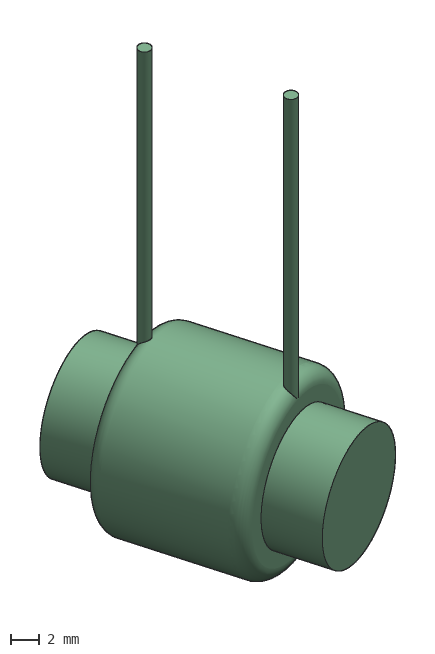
import cadquery as cq

overall_height = 41.4
core_length = 22.35
core_diameter = 10.95
winding_length = 12.65
winding_diameter = 16.0
winding_edge_radius = 1.25
lead_diameter = 1.08

winding_radius = winding_diameter / 2
lead_top = overall_height - winding_radius
lead_bottom = winding_radius - winding_edge_radius
lead_offset = (winding_length - lead_diameter) / 2


def cylinder_along_x(diameter, length):
    """Cylinder on the X axis, centred on the origin."""
    start = cq.Workplane("YZ", origin=(-length / 2, 0, 0))
    return start.circle(diameter / 2).extrude(length)


def lead(x):
    """Straight vertical wire rising from the winding at the given X."""
    return (
        cq.Workplane("XY", origin=(x, 0, lead_bottom))
        .circle(lead_diameter / 2)
        .extrude(lead_top - lead_bottom)
    )


core = cylinder_along_x(core_diameter, core_length)
winding = cylinder_along_x(winding_diameter, winding_length)
winding = winding.edges("%CIRCLE").fillet(winding_edge_radius)

result = core.union(winding)
for x in (-lead_offset, lead_offset):
    result = result.union(lead(x))